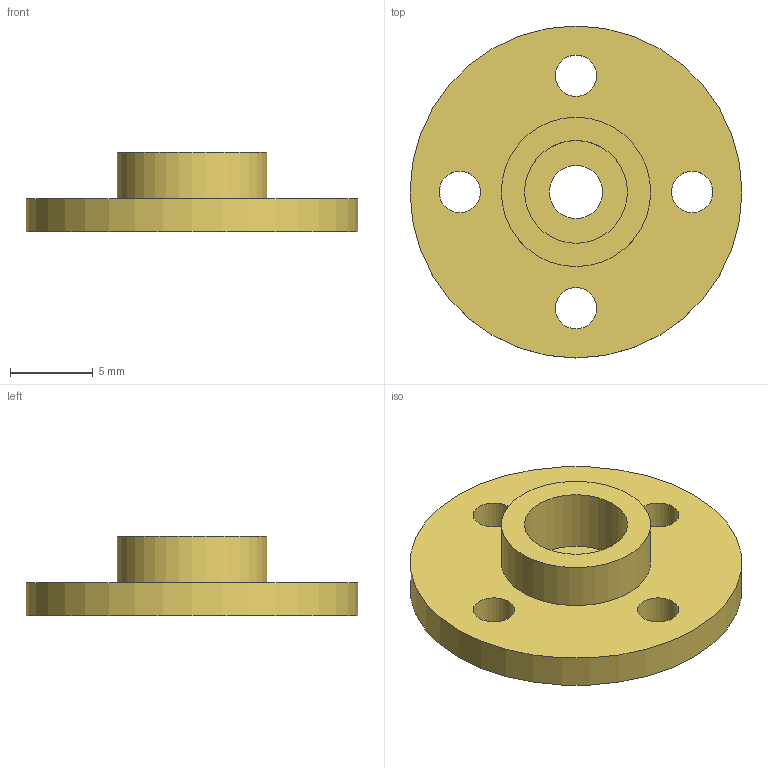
import cadquery as cq

flange_diameter = 20.0
flange_thickness = 2.0

hub_diameter = 9.0
overall_height = 4.8
hub_height = overall_height - flange_thickness

recess_diameter = 6.2
recess_floor_thickness = 1.0
recess_depth = overall_height - recess_floor_thickness
bore_diameter = 3.2

mounting_hole_diameter = 2.5
mounting_circle_diameter = 14.0
mounting_hole_count = 4


def make_flanged_hub():
    """Flange disc with the cylindrical hub standing on it."""
    flange = cq.Workplane("XY").circle(flange_diameter / 2).extrude(flange_thickness)
    return flange.faces(">Z").workplane().circle(hub_diameter / 2).extrude(hub_height)


def cut_stepped_bore(body):
    """Counterbored hole down the axis of the hub."""
    return body.faces(">Z").workplane().cboreHole(bore_diameter, recess_diameter, recess_depth)


def cut_mounting_holes(body):
    """Evenly spaced through holes around the flange."""
    holes = (
        cq.Workplane("XY")
        .polarArray(mounting_circle_diameter / 2, 0, 360, mounting_hole_count)
        .circle(mounting_hole_diameter / 2)
        .extrude(flange_thickness)
    )
    return body.cut(holes)


result = cut_mounting_holes(cut_stepped_bore(make_flanged_hub()))